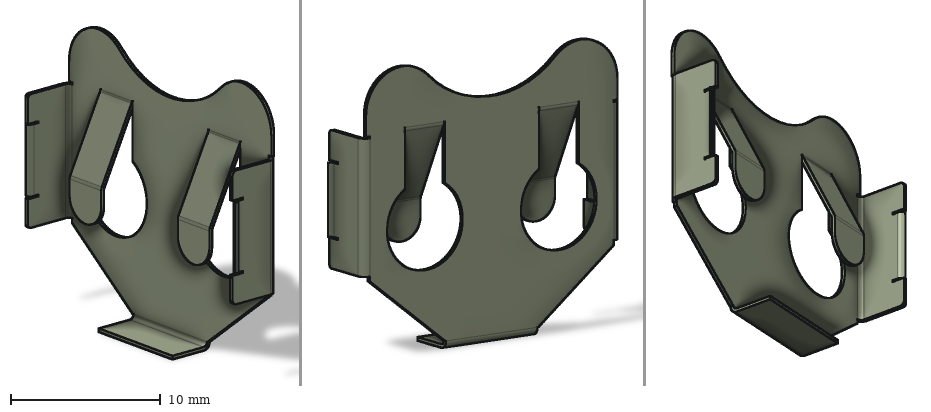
import cadquery as cq
import math

SHEET = 0.25
BEND_INSIDE = 0.3
BEND_OUTSIDE = BEND_INSIDE + SHEET
PLATE_LAP = 0.22

WIDTH = 21.7
DEPTH = 3.9
HEIGHT = 19.8

SIDE_OUTER_X = 10.57
SIDE_INNER_X = SIDE_OUTER_X - SHEET
SIDE_BOTTOM = 5.73
SIDE_TOP = 15.2
SIDE_CORNER_RADIUS = 0.3

FOOT_WIDTH = 7.5
FOOT_DEPTH = 3.32
FOOT_SHOULDER = 0.07

PLATE_HALF_WIDTH = SIDE_INNER_X
WAIST_HALF_WIDTH = SIDE_OUTER_X - BEND_OUTSIDE
WAIST_TOP = 15.32
SLANT_TOP = 5.4
LOBE_RADIUS = 3.0
VALLEY_BOTTOM = 16.85

LIP_HEIGHT = 5.08
LIP_SLOT = 0.1
LIP_ROOT_Y = -2.97
LIP_CURL_Y = -3.36
LIP_CURL_INSIDE = WIDTH / 2 - SIDE_OUTER_X

TONGUE_X = 5.51
TONGUE_WIDTH = 3.21
TONGUE_FRONT_Y = -2.97
TONGUE_TIP_Z = 7.1
TONGUE_ANGLE = math.radians(26.2)
OPENING_X = 5.5
OPENING_RADIUS = 3.1
OPENING_Z = 8.72
SLOT_WIDTH = 3.28
SLOT_TOP = 15.58


def round_bend(body, axis, inside, outside):
    """Round a sharp fold, given one point on its inside edge and one on its outside edge."""
    body = body.edges("|" + axis).edges(cq.selectors.NearestToPointSelector(inside)).fillet(BEND_INSIDE)
    return body.edges("|" + axis).edges(cq.selectors.NearestToPointSelector(outside)).fillet(BEND_OUTSIDE)


def back_plate():
    """Flat plate with two round lobes joined by a tangent concave valley along the top."""
    lobe_x = PLATE_HALF_WIDTH - LOBE_RADIUS
    lobe_z = HEIGHT - LOBE_RADIUS
    drop = VALLEY_BOTTOM - lobe_z
    valley_radius = (lobe_x**2 + drop**2 - LOBE_RADIUS**2) / (2 * (LOBE_RADIUS - drop))
    share = LOBE_RADIUS / (LOBE_RADIUS + valley_radius)
    join_x = lobe_x * (1 - share)
    join_z = lobe_z + share * (drop + valley_radius)
    foot_x = FOOT_WIDTH / 2 + FOOT_SHOULDER

    return (
        cq.Workplane("XZ")
        .moveTo(-foot_x, BEND_OUTSIDE)
        .lineTo(foot_x, BEND_OUTSIDE)
        .lineTo(WAIST_HALF_WIDTH, SLANT_TOP)
        .lineTo(WAIST_HALF_WIDTH, WAIST_TOP)
        .lineTo(PLATE_HALF_WIDTH, WAIST_TOP)
        .lineTo(PLATE_HALF_WIDTH, lobe_z)
        .threePointArc((lobe_x, HEIGHT), (join_x, join_z))
        .threePointArc((0, VALLEY_BOTTOM), (-join_x, join_z))
        .threePointArc((-lobe_x, HEIGHT), (-PLATE_HALF_WIDTH, lobe_z))
        .lineTo(-PLATE_HALF_WIDTH, WAIST_TOP)
        .lineTo(-WAIST_HALF_WIDTH, WAIST_TOP)
        .lineTo(-WAIST_HALF_WIDTH, SLANT_TOP)
        .close()
        .extrude(SHEET)
    )


def bottom_flange():
    """Foot folded square to the plate along its bottom edge."""
    foot = (
        cq.Workplane("YZ")
        .polyline([
            (0, BEND_OUTSIDE + PLATE_LAP),
            (0, 0),
            (-FOOT_DEPTH, 0),
            (-FOOT_DEPTH, SHEET),
            (-SHEET, SHEET),
            (-SHEET, BEND_OUTSIDE + PLATE_LAP),
        ])
        .close()
        .extrude(FOOT_WIDTH / 2, both=True)
    )
    return round_bend(foot, "X", (0, -SHEET, SHEET), (0, 0, 0))


def side_flange():
    """Wing on the +X side, folded square to the plate, with a lip between two narrow slots."""
    mid_z = (SIDE_BOTTOM + SIDE_TOP) / 2
    wing = (
        cq.Workplane("XY")
        .workplane(offset=SIDE_BOTTOM)
        .polyline([
            (WAIST_HALF_WIDTH - PLATE_LAP, 0),
            (SIDE_OUTER_X, 0),
            (SIDE_OUTER_X, -DEPTH),
            (SIDE_INNER_X, -DEPTH),
            (SIDE_INNER_X, -SHEET),
            (WAIST_HALF_WIDTH - PLATE_LAP, -SHEET),
        ])
        .close()
        .extrude(SIDE_TOP - SIDE_BOTTOM)
    )
    wing = wing.edges("|X and <Y").fillet(SIDE_CORNER_RADIUS)
    wing = round_bend(wing, "Z", (SIDE_INNER_X, -SHEET, mid_z), (SIDE_OUTER_X, 0, mid_z))

    window = (
        cq.Workplane("XY")
        .box(2 * SHEET, 2 * (DEPTH + LIP_ROOT_Y), LIP_HEIGHT + 2 * LIP_SLOT)
        .translate(((SIDE_INNER_X + SIDE_OUTER_X) / 2, -DEPTH, mid_z))
    )

    tip_x = SIDE_OUTER_X + LIP_CURL_INSIDE
    front_y = LIP_CURL_Y - LIP_CURL_INSIDE
    curl_outside = LIP_CURL_INSIDE + SHEET
    trim_angle = math.acos(LIP_CURL_INSIDE / curl_outside)

    def on_curl(radius, angle):
        return (tip_x - radius * math.cos(angle), LIP_CURL_Y - radius * math.sin(angle))

    lip = (
        cq.Workplane("XY")
        .workplane(offset=mid_z - LIP_HEIGHT / 2)
        .moveTo(SIDE_INNER_X, LIP_ROOT_Y)
        .lineTo(SIDE_OUTER_X, LIP_ROOT_Y)
        .lineTo(SIDE_OUTER_X, LIP_CURL_Y)
        .threePointArc(on_curl(LIP_CURL_INSIDE, math.pi / 4), (tip_x, front_y))
        .lineTo(SIDE_OUTER_X, front_y)
        .lineTo(*on_curl(curl_outside, trim_angle))
        .threePointArc(on_curl(curl_outside, trim_angle / 2), (SIDE_INNER_X, LIP_CURL_Y))
        .close()
        .extrude(LIP_HEIGHT)
    )
    return wing.cut(window).union(lip)


def opening():
    """Keyhole through the plate: a round hole with a slot rising to the root of the tongue."""
    hole = cq.Workplane("XZ").center(OPENING_X, OPENING_Z).circle(OPENING_RADIUS).extrude(SHEET)
    slot_height = SLOT_TOP - OPENING_Z
    slot = (
        cq.Workplane("XZ")
        .center(OPENING_X, OPENING_Z + slot_height / 2)
        .rect(SLOT_WIDTH, slot_height)
        .extrude(SHEET)
    )
    return hole.union(slot)


def tongue():
    """Spring tongue: folded forward from the slot's top, then back to vertical above a round tip."""
    half_angle_tan = math.tan(TONGUE_ANGLE / 2)
    root_z = SLOT_TOP - BEND_INSIDE * half_angle_tan
    knee_z = root_z - (-SHEET - TONGUE_FRONT_Y) / math.tan(TONGUE_ANGLE)
    rear_shift = SHEET * half_angle_tan
    top_z = SLOT_TOP + PLATE_LAP
    rear_y = TONGUE_FRONT_Y + SHEET

    strip = (
        cq.Workplane("YZ")
        .workplane(offset=TONGUE_X)
        .polyline([
            (-SHEET, top_z),
            (-SHEET, root_z),
            (TONGUE_FRONT_Y, knee_z),
            (TONGUE_FRONT_Y, TONGUE_TIP_Z),
            (rear_y, TONGUE_TIP_Z),
            (rear_y, knee_z - rear_shift),
            (0, root_z - rear_shift),
            (0, top_z),
        ])
        .close()
        .extrude(TONGUE_WIDTH / 2, both=True)
    )
    strip = round_bend(strip, "X", (TONGUE_X, -SHEET, root_z), (TONGUE_X, 0, root_z - rear_shift))
    strip = round_bend(
        strip, "X", (TONGUE_X, rear_y, knee_z - rear_shift), (TONGUE_X, TONGUE_FRONT_Y, knee_z)
    )

    tip_radius = TONGUE_WIDTH / 2
    tip_centre_z = TONGUE_TIP_Z + tip_radius
    band = (
        cq.Workplane("XZ")
        .moveTo(TONGUE_X - tip_radius, top_z)
        .lineTo(TONGUE_X - tip_radius, tip_centre_z)
        .threePointArc((TONGUE_X, TONGUE_TIP_Z), (TONGUE_X + tip_radius, tip_centre_z))
        .lineTo(TONGUE_X + tip_radius, top_z)
        .close()
        .extrude(DEPTH)
    )
    return strip.intersect(band)


def both_sides(body):
    return [body, body.mirror("YZ")]


result = back_plate()
for cutter in both_sides(opening()):
    result = result.cut(cutter)
for feature in [bottom_flange(), *both_sides(side_flange()), *both_sides(tongue())]:
    result = result.union(feature)